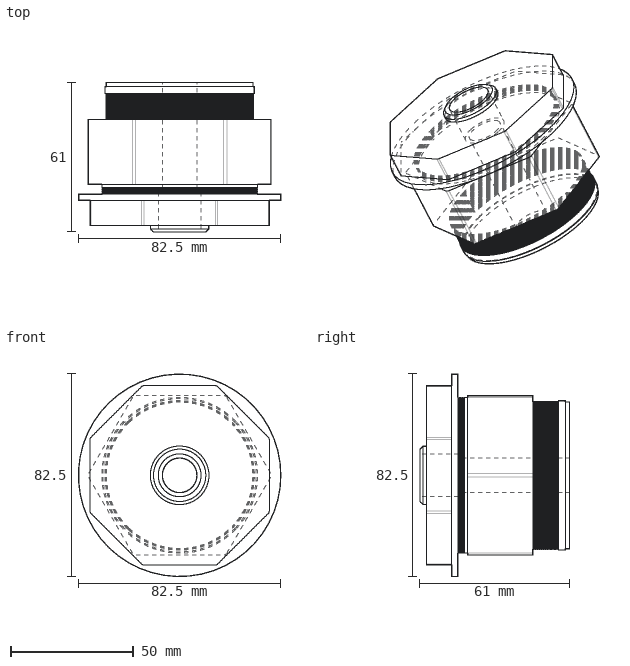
import cadquery as cq
import math


OVERALL_LENGTH = 60.96
BOSS_LENGTH = 2.67
OCTAGON_LENGTH = 10.29
FLANGE_THICKNESS = 2.54
FRONT_THREAD_LENGTH = 2.66
FRONT_COLLAR_LENGTH = 1.27
HEX_LENGTH = 26.54
REAR_COLLAR_LENGTH = 2.92
REAR_END_LENGTH = 1.65

octagon_front = BOSS_LENGTH
flange_front = octagon_front + OCTAGON_LENGTH
joint_face = flange_front + FLANGE_THICKNESS
front_collar_start = joint_face + FRONT_THREAD_LENGTH
hex_front = front_collar_start + FRONT_COLLAR_LENGTH
hex_rear = hex_front + HEX_LENGTH
rear_end_start = OVERALL_LENGTH - REAR_END_LENGTH
rear_collar_start = rear_end_start - REAR_COLLAR_LENGTH

FLANGE_RADIUS = 82.55 / 2
OCTAGON_SIDES = 8
OCTAGON_ACROSS_FLATS = 73.03
OCTAGON_CORNER_RADIUS = 1.27
BOSS_RADIUS = 11.94
BOSS_CHAMFER = 1.27
CAP_BORE_RADIUS = 8.73

HEX_SIDES = 6
HEX_ACROSS_FLATS = 65.02
HEX_CORNER_RADIUS = 1.52
BODY_BORE_RADIUS = 6.99
FRONT_THREAD_RADIUS = 31.75
FRONT_THREAD_DEPTH = 0.5
FRONT_THREAD_TURNS = 5
REAR_THREAD_RADIUS = 30.15
REAR_THREAD_DEPTH = 0.3
REAR_THREAD_TURNS = 19
REAR_COLLAR_RADIUS = 30.48
REAR_END_RADIUS = 29.97


def cylinder(radius, start, end):
    """Solid cylinder on the Y axis from start to end."""
    plane = cq.Workplane("XZ", origin=(0, start, 0))
    return plane.circle(radius).extrude(start - end)


def prism(sides, across_flats, corner_radius, turn, start, end):
    """Regular prism on the Y axis with rounded corners, turned about the axis."""
    corner_diameter = across_flats / math.cos(math.pi / sides)
    blank = (
        cq.Workplane("XZ", origin=(0, start, 0))
        .polygon(sides, corner_diameter)
        .extrude(start - end)
        .edges("|Y")
        .fillet(corner_radius)
    )
    return blank.rotate((0, 0, 0), (0, 1, 0), turn)


def threaded_cylinder(crest_radius, depth, turns, start, end):
    """Cylinder with a row of V grooves that stand for a thread."""
    pitch = (end - start) / turns
    profile = cq.Workplane("XY").moveTo(0, start).lineTo(crest_radius, start)
    for turn in range(turns):
        groove_start = start + turn * pitch
        profile = profile.lineTo(crest_radius - depth, groove_start + pitch / 2)
        profile = profile.lineTo(crest_radius, groove_start + pitch)
    return profile.lineTo(0, end).close().revolve(360, (0, 0, 0), (0, 1, 0))


def make_cap():
    """Flanged octagonal cap with a chamfered boss and a through bore."""
    boss = cylinder(BOSS_RADIUS, 0, octagon_front).faces("<Y").chamfer(BOSS_CHAMFER)
    octagon_turn = 180 / OCTAGON_SIDES
    head = prism(
        OCTAGON_SIDES,
        OCTAGON_ACROSS_FLATS,
        OCTAGON_CORNER_RADIUS,
        octagon_turn,
        octagon_front,
        flange_front,
    )
    flange = cylinder(FLANGE_RADIUS, flange_front, joint_face)
    bore = cylinder(CAP_BORE_RADIUS, 0, joint_face)
    return flange.union(head).union(boss).cut(bore)


def make_body():
    """Hexagonal body, threaded at both ends, with a through bore."""
    front_thread = threaded_cylinder(
        FRONT_THREAD_RADIUS, FRONT_THREAD_DEPTH, FRONT_THREAD_TURNS, joint_face, front_collar_start
    )
    front_collar = cylinder(FRONT_THREAD_RADIUS, front_collar_start, hex_front)
    hex_turn = 0
    hexagon = prism(HEX_SIDES, HEX_ACROSS_FLATS, HEX_CORNER_RADIUS, hex_turn, hex_front, hex_rear)
    rear_thread = threaded_cylinder(
        REAR_THREAD_RADIUS, REAR_THREAD_DEPTH, REAR_THREAD_TURNS, hex_rear, rear_collar_start
    )
    rear_collar = cylinder(REAR_COLLAR_RADIUS, rear_collar_start, rear_end_start)
    rear_end = cylinder(REAR_END_RADIUS, rear_end_start, OVERALL_LENGTH)
    bore = cylinder(BODY_BORE_RADIUS, joint_face, OVERALL_LENGTH)

    body = hexagon
    for section in (front_collar, front_thread, rear_thread, rear_collar, rear_end):
        body = body.union(section)
    return body.cut(bore)


cap = make_cap()
body = make_body()
result = cq.Compound.makeCompound([cap.val(), body.val()])